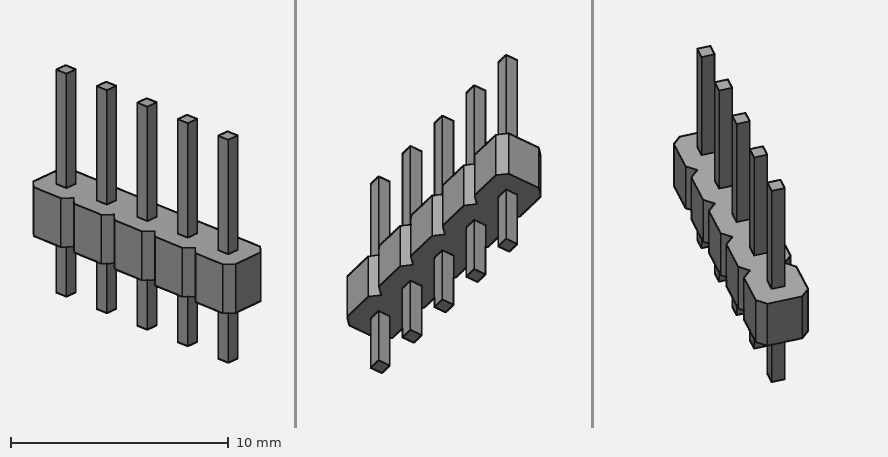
import cadquery as cq

pin_count = 5
pitch = 2.54
body_height = 2.5
corner_chamfer = pitch / 6
pin_width = 0.64
pin_above_body = 5.84
pin_below_body = 3.05

pin_length = pin_below_body + body_height + pin_above_body
pin_positions = [(i - (pin_count - 1) / 2) * pitch for i in range(pin_count)]


def housing_segment(x):
    """One octagonal housing cell, with its underside on Z = 0."""
    return (
        cq.Workplane("XY")
        .box(pitch, pitch, body_height, centered=(True, True, False))
        .edges("|Z")
        .chamfer(corner_chamfer)
        .translate((x, 0, 0))
    )


def pin(x):
    """One square pin running through the housing."""
    return (
        cq.Workplane("XY")
        .box(pin_width, pin_width, pin_length, centered=(True, True, False))
        .translate((x, 0, -pin_below_body))
    )


result = cq.Workplane("XY")
for pin_x in pin_positions:
    result = result.union(housing_segment(pin_x)).union(pin(pin_x))
result = result.clean()